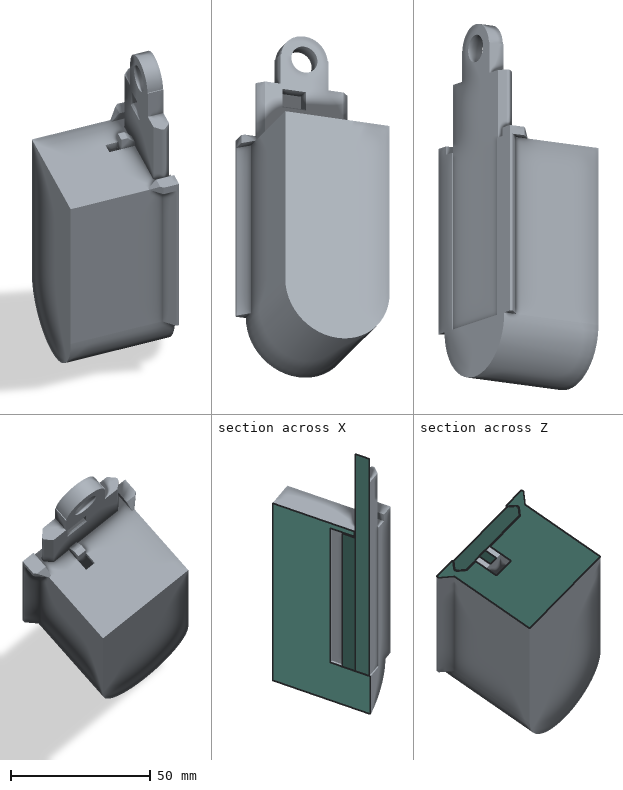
import cadquery as cq
import math


total_height = 129.5
body_width = 40.0
body_depth = 40.0
body_top = 85.0
end_radius = body_width / 2

flange_width = 48.0
flange_lip = 1.0
flange_reach = (flange_width - body_width) / 2
stop_height = 3.1
stop_width = 5.0
stop_lip = 6.0

blade_thickness = 6.0
blade_back_gap = 0.5
blade_flat_width = 30.0
blade_edge_radius = 1.0
blade_shoulder = 110.0
lug_width = 18.4
lug_side_top = 121.2
lug_radius = 9.0
eye_diameter = 10.0
blade_middle_y = -blade_back_gap - blade_thickness / 2
blade_front_y = -blade_back_gap - blade_thickness
eye_height = total_height - lug_radius
channel_clearance = 0.1
channel_floor = end_radius

window_left = -8.4
window_width = 9.0
window_bottom = 100.9
window_height = 7.1
window_depth = 4.7
window_bevel = 0.5

latch_x = -6.0
latch_width = 3.5
latch_base_width = 7.5
latch_top = 89.2
latch_front_y = -11.7
latch_slope = 2.7
latch_clearance = 0.3
slot_depth = 2.6
slot_front_y = -16.3
cavity_top = body_top - slot_depth


def prism_along_z(points, bottom, top):
    """Extrude an XY outline from one height to another."""
    return cq.Workplane("XY").workplane(offset=bottom).polyline(points).close().extrude(top - bottom)


def prism_along_x(points, middle_x, width):
    """Extrude a YZ outline symmetrically about a plane of constant X."""
    plane = cq.Workplane("YZ").workplane(offset=middle_x)
    return plane.polyline(points).close().extrude(width / 2, both=True)


def block(x_range, y_range, z_range):
    """Axis-aligned box between pairs of limits."""
    sizes = [max(r) - min(r) for r in (x_range, y_range, z_range)]
    corner = [min(r) for r in (x_range, y_range, z_range)]
    return cq.Workplane("XY").box(*sizes, centered=False).translate(tuple(corner))


def latch_span(width, clearance):
    """X limits of a width centred on the latch, widened by a clearance on both sides."""
    half_width = width / 2 + clearance
    return (latch_x - half_width, latch_x + half_width)


def wing_outline(lip):
    """Plan of both flanges: straight sides of length lip, then 45 degree slopes back to the body."""
    outer = flange_width / 2
    inner = body_width / 2
    slope_end = -lip - flange_reach
    return [(-outer, 0), (outer, 0), (outer, -lip), (inner, slope_end), (-inner, slope_end), (-outer, -lip)]


def blade_section(grow):
    """Plan of the blade with side edges pointed by 45 degree faces, moved outwards by grow on every face."""
    half_thickness = blade_thickness / 2 + grow
    half_flat = blade_flat_width / 2 + grow * math.tan(math.pi / 8)
    tip = half_flat + half_thickness
    back = blade_middle_y + half_thickness
    front = blade_middle_y - half_thickness
    return [
        (-half_flat, back), (half_flat, back), (tip, blade_middle_y),
        (half_flat, front), (-half_flat, front), (-tip, blade_middle_y),
    ]


def make_stops():
    """Stops above both flanges, overhanging them, with the front face sloping back at 45 degrees."""
    stop_top = body_top + stop_height
    foot_y = -stop_lip - flange_reach
    stops = prism_along_z(wing_outline(stop_lip), body_top, stop_top)
    side_profile = [(0, body_top), (foot_y, body_top), (foot_y + stop_height, stop_top), (0, stop_top)]
    stops = stops.intersect(prism_along_x(side_profile, 0, flange_width))
    inner = flange_width / 2 - stop_width
    return stops.cut(block((-inner, inner), (foot_y, 0), (body_top, stop_top)))


def make_housing():
    outline = (
        cq.Workplane("XZ")
        .moveTo(-body_width / 2, body_top)
        .lineTo(-body_width / 2, end_radius)
        .threePointArc((0, 0), (body_width / 2, end_radius))
        .lineTo(body_width / 2, body_top)
        .close()
    )
    housing = outline.extrude(body_depth)
    housing = housing.union(prism_along_z(wing_outline(flange_lip), end_radius, body_top))
    housing = housing.union(make_stops())

    channel = prism_along_z(blade_section(channel_clearance), channel_floor, body_top)
    channel = channel.edges("|Z and (>X or <X)").fillet(blade_edge_radius + channel_clearance)
    opening_sides = (-blade_flat_width / 2, blade_flat_width / 2)
    opening = block(opening_sides, (blade_middle_y, 0), (channel_floor, body_top))
    housing = housing.cut(channel).cut(opening)

    latch_room_y = (slot_front_y, blade_middle_y)
    slot = block(latch_span(latch_width, latch_clearance), latch_room_y, (cavity_top, body_top))
    cavity = block(latch_span(latch_base_width, latch_clearance), latch_room_y, (channel_floor, cavity_top))
    return housing.cut(slot).cut(cavity)


def make_blade():
    plate = prism_along_z(blade_section(0), channel_floor, blade_shoulder)
    plate = plate.edges("|Z and (>X or <X)").fillet(blade_edge_radius)

    lug_plane = cq.Workplane("XZ", origin=(0, -blade_back_gap, 0))
    lug_sides = (-lug_width / 2, lug_width / 2)
    lug = block(lug_sides, (blade_front_y, -blade_back_gap), (blade_shoulder, lug_side_top))
    lug = lug.union(lug_plane.center(0, eye_height).circle(lug_radius).extrude(blade_thickness))
    blade = plate.union(lug)
    blade = blade.cut(lug_plane.center(0, eye_height).circle(eye_diameter / 2).extrude(blade_thickness))

    window_top = window_bottom + window_height
    window_floor = window_bottom + window_bevel
    window_profile = [
        (blade_front_y, window_bottom), (blade_front_y, window_top),
        (blade_front_y + window_depth, window_top), (blade_front_y + window_depth, window_floor),
        (blade_front_y + window_bevel, window_floor),
    ]
    return blade.cut(prism_along_x(window_profile, window_left + window_width / 2, window_width))


def make_latch():
    """Upright bar on a wider base against the blade, its top sloping down at 45 degrees towards the blade."""
    slope_end_y = blade_front_y - latch_slope
    profile = [
        (blade_front_y, channel_floor), (latch_front_y, channel_floor), (latch_front_y, latch_top),
        (slope_end_y, latch_top), (blade_front_y, latch_top - latch_slope),
    ]
    stem = prism_along_x(profile, latch_x, latch_width)
    base_heights = (channel_floor, cavity_top - latch_clearance)
    base = block(latch_span(latch_base_width, 0), (latch_front_y, blade_front_y), base_heights)
    return stem.union(base)


housing = make_housing()
blade = make_blade()
latch = make_latch()
result = cq.Compound.makeCompound([housing.val(), blade.val(), latch.val()])